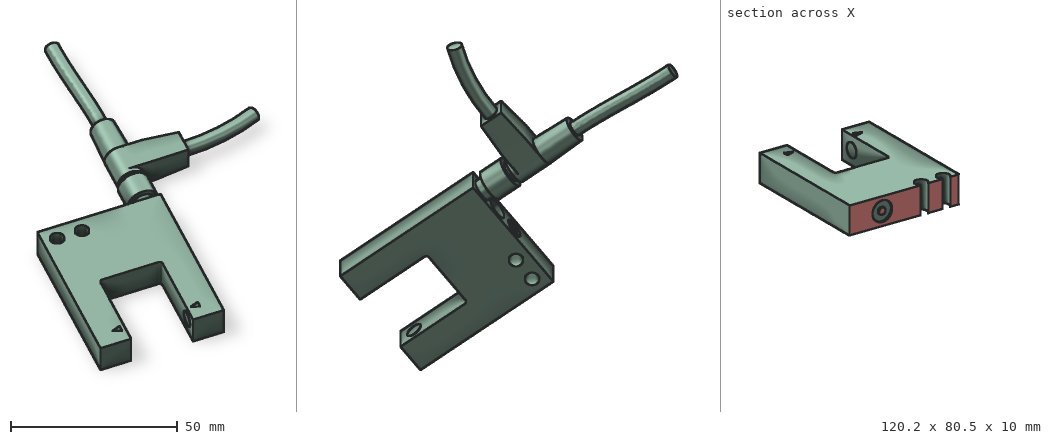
import cadquery as cq
import math


housing_length = 50.0
housing_width = 40.0
thickness = 10.0
arm_width = 10.0
slot_depth = 25.1
slot_corner_radius = 1.0
mid_height = thickness / 2

mount_hole_diameter = 4.3
mount_hole_x = 4.6
mount_hole_first_y = 4.6
mount_hole_spacing = 8.0

stud_diameter = 2.5
deep_recess_diameter = 7.0
deep_recess_depth = 3.4
deep_recess_y = 28.0
deep_stud_height = 1.0
shallow_recess_diameter = 6.0
shallow_recess_depth = 0.8
shallow_recess_y = 19.5
shallow_stud_height = 0.8

beam_x = housing_length - 5.0
window_diameter = 5.0
window_depth = 0.1
triangle_width = 1.9
triangle_height = 2.6
triangle_depth = 0.1
triangle_base_y = 8.7
triangle_spacing = 25.4

axis_y = 35.5
nut_front_x = -2.9
nut_back_x = -10.6
plug_front_x = -11.9
cone_front_x = -21.8
plug_back_x = -34.7
socket_diameter = 7.0
nut_diameter = 10.0
neck_diameter = 6.5
plug_diameter = 9.0
plug_back_diameter = 8.0

elbow_x = -17.9
elbow_taper_start_y = 43.4
elbow_end_y = 54.8
elbow_end_width = 7.6

cable_diameter = 4.6
straight_cable_end_x = housing_length - 120.2
straight_cable_sag = 1.9
bent_cable_angle = math.radians(22.9)
bent_cable_radius = 63.8


def cylinder_along_x(x_start, x_end, y, diameter):
    """Cylinder at mid height whose axis runs from x_start to x_end."""
    face = cq.Workplane("YZ", origin=(x_start, y, mid_height)).circle(diameter / 2)
    return face.extrude(x_end - x_start)


def studded_recess(y, diameter, depth, stud_height):
    """Material to remove from the -X face: a round recess around a stud."""
    recess = cylinder_along_x(0, depth, y, diameter)
    stud = cylinder_along_x(depth - stud_height, depth, y, stud_diameter)
    return recess.cut(stud)


def triangle_mark(base_y):
    """Shallow triangular engraving in the top face, its tip pointing to -Y."""
    corners = [
        (beam_x - triangle_width / 2, base_y),
        (beam_x + triangle_width / 2, base_y),
        (beam_x, base_y - triangle_height),
    ]
    top_plane = cq.Workplane("XY", origin=(0, 0, thickness))
    return top_plane.polyline(corners).close().extrude(-triangle_depth)


def make_housing():
    slot_width = housing_width - 2 * arm_width
    body = cq.Workplane("XY").box(housing_length, housing_width, thickness, centered=False)
    slot = (
        cq.Workplane("XY", origin=(housing_length - slot_depth, arm_width, 0))
        .box(slot_depth, slot_width, thickness, centered=False)
        .edges("|Z and <X")
        .fillet(slot_corner_radius)
    )
    body = body.cut(slot)

    mount_holes = (
        cq.Workplane("XY")
        .pushPoints([(mount_hole_x, mount_hole_first_y + i * mount_hole_spacing) for i in range(2)])
        .circle(mount_hole_diameter / 2)
        .extrude(thickness)
    )
    body = body.cut(mount_holes)

    body = body.cut(studded_recess(
        deep_recess_y, deep_recess_diameter, deep_recess_depth, deep_stud_height
    ))
    body = body.cut(studded_recess(
        shallow_recess_y, shallow_recess_diameter, shallow_recess_depth, shallow_stud_height
    ))

    window_start_y = arm_width - window_depth
    windows = (
        cq.Workplane("XZ", origin=(beam_x, window_start_y, mid_height))
        .circle(window_diameter / 2)
        .extrude(-(slot_width + 2 * window_depth))
    )
    body = body.cut(windows)

    for i in range(2):
        body = body.cut(triangle_mark(triangle_base_y + i * triangle_spacing))

    return body.union(cylinder_along_x(nut_front_x, 0, axis_y, socket_diameter))


def make_elbow():
    """Square outlet with a tapered end, starting on the connector axis."""
    block = (
        cq.Workplane("XZ", origin=(elbow_x, axis_y, mid_height))
        .rect(plug_diameter, plug_diameter)
        .extrude(axis_y - elbow_taper_start_y)
    )
    taper = (
        cq.Workplane("XZ", origin=(elbow_x, elbow_taper_start_y, mid_height))
        .rect(plug_diameter, plug_diameter)
        .workplane(offset=elbow_taper_start_y - elbow_end_y)
        .rect(elbow_end_width, elbow_end_width)
        .loft(ruled=True)
    )
    foot = cylinder_along_x(elbow_x - plug_diameter / 2, plug_front_x, axis_y, plug_diameter)
    return block.union(taper).union(foot)


def make_connector():
    """Nut, neck and plug turned about the connector axis, with the elbow outlet."""
    profile = [
        (nut_front_x, 0),
        (nut_front_x, nut_diameter / 2),
        (nut_back_x, nut_diameter / 2),
        (nut_back_x, neck_diameter / 2),
        (plug_front_x, neck_diameter / 2),
        (plug_front_x, plug_diameter / 2),
        (cone_front_x, plug_diameter / 2),
        (plug_back_x, plug_back_diameter / 2),
        (plug_back_x, 0),
    ]
    turned = (
        cq.Workplane("XY", origin=(0, axis_y, mid_height))
        .polyline(profile)
        .close()
        .revolve(360, (0, 0, 0), (1, 0, 0))
    )
    return turned.union(make_elbow())


def make_straight_cable():
    """Cable that leaves the plug along -X and drifts to -Y, level at both ends."""
    path = cq.Workplane("XY", origin=(0, 0, mid_height)).spline(
        [(plug_back_x, axis_y), (straight_cable_end_x, axis_y - straight_cable_sag)],
        tangents=[(-1, 0), (-1, 0)],
    )
    section = cq.Workplane("YZ", origin=(plug_back_x, axis_y, mid_height)).circle(cable_diameter / 2)
    return section.sweep(path)


def make_bent_cable():
    """Cable that leaves the elbow along +Y and bends to -X on an arc."""
    def arc_point(angle):
        return (
            elbow_x - bent_cable_radius * (1 - math.cos(angle)),
            elbow_end_y + bent_cable_radius * math.sin(angle),
        )

    path = (
        cq.Workplane("XY", origin=(0, 0, mid_height))
        .moveTo(*arc_point(0))
        .threePointArc(arc_point(bent_cable_angle / 2), arc_point(bent_cable_angle))
    )
    section = cq.Workplane("XZ", origin=(elbow_x, elbow_end_y, mid_height)).circle(cable_diameter / 2)
    return section.sweep(path)


housing = make_housing()
connector = make_connector()
straight_cable = make_straight_cable()
bent_cable = make_bent_cable()

result = cq.Compound.makeCompound([
    housing.val(),
    connector.val(),
    straight_cable.val(),
    bent_cable.val(),
])